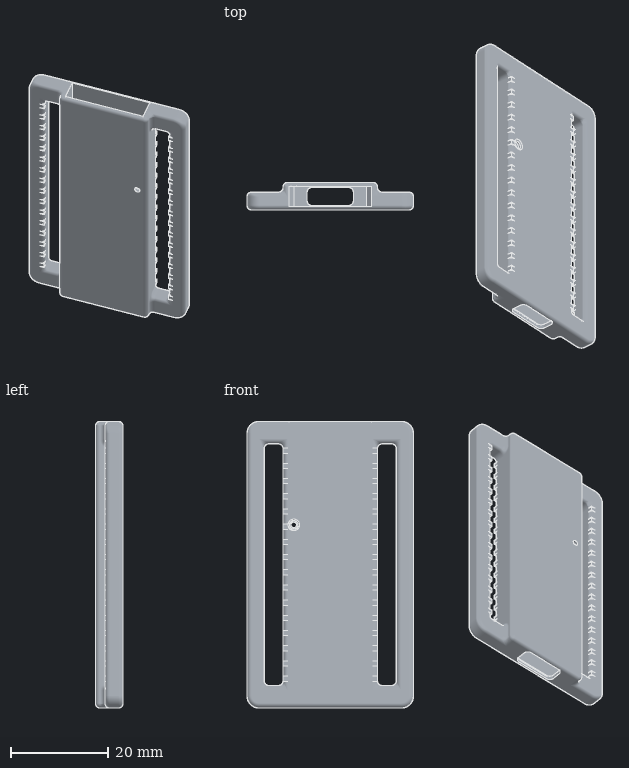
import cadquery as cq
HEIGHT = 59.0
WIDTH = 34.3
PLATE_THICKNESS = 3.7
TOTAL_THICKNESS = 5.7
CORNER_RADIUS = 2.5
EDGE_RADIUS = 0.95

SLEEVE_WIDTH = 19.5

POCKET_FRONT = 0.75
POCKET_BACK = 4.9
POCKET_WIDTH = 16.95
POCKET_FLOOR_WIDTH = 15.0
POCKET_TAPER_HEIGHT = 2.85
FLOOR_THICKNESS = 0.95

FLOOR_OPENING_WIDTH = 9.5
FLOOR_OPENING_FRONT = 0.95
FLOOR_OPENING_BACK = 4.65
FLOOR_OPENING_RADIUS = 1.0

SLOT_WIDTH = 3.85
SLOT_LENGTH = 49.7

RIB_COUNT = 16
RIB_PITCH = 3.1
RIB_WIDTH = 1.05

HOLE_X = -7.5
HOLE_Z = 8.2
FRONT_HOLE_DIAMETER = 1.8
BACK_HOLE_DIAMETER = 1.1
COUNTERSINK = 0.3

TOLERANCE = 0.005
half_height = HEIGHT / 2
half_slot = SLOT_LENGTH / 2
slot_inner = SLEEVE_WIDTH / 2
slot_outer = slot_inner + SLOT_WIDTH


def block(x_range, y_range, z_range):
    """Rectangular block between two limits on each axis."""
    size = [high - low for low, high in (x_range, y_range, z_range)]
    corner = (x_range[0], y_range[0], z_range[0])
    return cq.Workplane("XY").box(*size, centered=False).translate(corner)


def on_both_sides(solid):
    """The solid together with its mirror image across the YZ plane."""
    return solid.union(solid.mirror("YZ"))


def is_outer_edge(edge):
    """True for the convex edges of the front face, the plate back and the sleeve."""
    box = edge.BoundingBox()
    on_front = box.ymax < TOLERANCE
    on_back = box.ymin > PLATE_THICKNESS - TOLERANCE
    return on_front or (on_back and not is_sleeve_foot(edge))


def is_sleeve_foot(edge):
    """True for the concave edges where the sleeve side meets the back of the plate."""
    box = edge.BoundingBox()
    at_sleeve_side = abs(abs(box.center.x) - slot_inner) < TOLERANCE
    return at_sleeve_side and abs(box.ymax - PLATE_THICKNESS) < TOLERANCE and box.ylen < TOLERANCE


def is_slot_corner(edge):
    """True for the straight upright corners inside the strap slots."""
    box = edge.BoundingBox()
    within_slot = slot_inner - TOLERANCE < abs(box.center.x) < slot_outer + TOLERANCE
    return within_slot and box.ylen > EDGE_RADIUS and abs(abs(box.center.z) - half_slot) < TOLERANCE


def round_edges(body, is_wanted):
    """Round every edge of the body that the given test picks."""
    edges = [edge for edge in body.edges().vals() if is_wanted(edge)]
    return body.newObject(edges).fillet(EDGE_RADIUS)


def make_shell():
    """Plate with the sleeve on its back and a strap slot on each side, edges rounded."""
    plate = block(
        (-WIDTH / 2, WIDTH / 2), (0, PLATE_THICKNESS), (-half_height, half_height)
    ).edges("|Y").fillet(CORNER_RADIUS)
    sleeve = block((-slot_inner, slot_inner), (0, TOTAL_THICKNESS), (-half_height, half_height))
    slot = block((slot_inner, slot_outer), (0, PLATE_THICKNESS), (-half_slot, half_slot))
    shell = plate.union(sleeve).cut(on_both_sides(slot))
    shell = round_edges(shell, is_outer_edge)
    return round_edges(shell, lambda edge: is_sleeve_foot(edge) or is_slot_corner(edge))


def make_ribs():
    """Square ribs on the front inner edge and the back outer edge of both slots."""
    ribs = cq.Workplane("XY")
    for index in range(RIB_COUNT):
        z = (index - (RIB_COUNT - 1) / 2) * RIB_PITCH
        z_range = (z - RIB_WIDTH / 2, z + RIB_WIDTH / 2)
        inner = block((slot_inner - EDGE_RADIUS, slot_inner), (0, EDGE_RADIUS), z_range)
        outer = block(
            (slot_outer, slot_outer + EDGE_RADIUS),
            (PLATE_THICKNESS - EDGE_RADIUS, PLATE_THICKNESS),
            z_range,
        )
        ribs = ribs.add(on_both_sides(inner)).add(on_both_sides(outer))
    return ribs.combine()


def make_pocket():
    """Straight pocket from the open top end, tapering in just above its floor."""
    floor_z = FLOOR_THICKNESS - half_height
    outline = [
        (-POCKET_FLOOR_WIDTH / 2, floor_z),
        (POCKET_FLOOR_WIDTH / 2, floor_z),
        (POCKET_WIDTH / 2, floor_z + POCKET_TAPER_HEIGHT),
        (POCKET_WIDTH / 2, half_height),
        (-POCKET_WIDTH / 2, half_height),
        (-POCKET_WIDTH / 2, floor_z + POCKET_TAPER_HEIGHT),
    ]
    depth = POCKET_BACK - POCKET_FRONT
    return cq.Workplane("XZ", origin=(0, POCKET_FRONT, 0)).polyline(outline).close().extrude(-depth)


def make_floor_opening():
    """Rounded opening from the pocket down through the bottom end."""
    half_width = FLOOR_OPENING_WIDTH / 2
    opening = block(
        (-half_width, half_width),
        (FLOOR_OPENING_FRONT, FLOOR_OPENING_BACK),
        (-half_height, FLOOR_THICKNESS - half_height),
    )
    return opening.edges("|Z").fillet(FLOOR_OPENING_RADIUS)


def make_stepped_hole():
    """Small hole through the sleeve, wider and countersunk in the front wall."""
    front = cq.Workplane("XZ", origin=(HOLE_X, 0, HOLE_Z))
    back_hole = front.circle(BACK_HOLE_DIAMETER / 2).extrude(-TOTAL_THICKNESS)
    front_radius = FRONT_HOLE_DIAMETER / 2
    front_hole = front.circle(front_radius).extrude(-POCKET_FRONT)
    countersink = cq.Workplane("XY").add(
        cq.Solid.makeCone(
            front_radius + COUNTERSINK,
            front_radius,
            COUNTERSINK,
            cq.Vector(HOLE_X, 0, HOLE_Z),
            cq.Vector(0, 1, 0),
        )
    )
    return back_hole.union(front_hole).union(countersink)


holder = make_shell().union(make_ribs())
holder = holder.cut(make_pocket()).cut(make_floor_opening()).cut(make_stepped_hole())
result = cq.Compound.makeCompound([holder.val()])